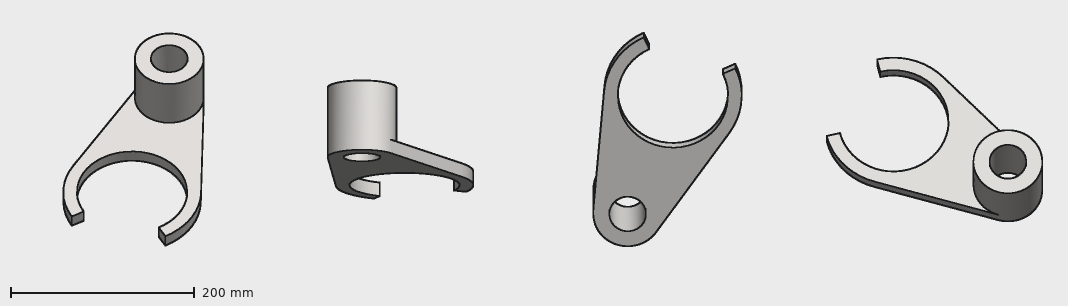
import cadquery as cq
import math

total_length = 236.1
total_height = 77.5
plate_thickness = 15.0
fork_outer_radius = 150.0 / 2
fork_inner_radius = 120.0 / 2
boss_radius = 75.0 / 2
bore_diameter = 40.0
tip_angle = math.radians(45)

tip_drop = fork_outer_radius * math.cos(tip_angle)
boss_y = total_length - boss_radius - tip_drop
tangent_angle = math.asin((fork_outer_radius - boss_radius) / boss_y)


def polar(radius, angle, center_y=0.0):
    """Point at an angle from +X around a centre on the Y axis."""
    return (radius * math.cos(angle), center_y + radius * math.sin(angle))


def mirrored(point):
    """Reflect a point across the Y axis."""
    return (-point[0], point[1])


def fork_plate():
    """Flat plate tapering to the boss, with an open fork at the other end."""
    right_tip = tip_angle - math.pi / 2
    outer_tip = polar(fork_outer_radius, right_tip)
    inner_tip = polar(fork_inner_radius, right_tip)
    outer_middle = polar(fork_outer_radius, (right_tip + tangent_angle) / 2)
    fork_tangent = polar(fork_outer_radius, tangent_angle)
    boss_tangent = polar(boss_radius, tangent_angle, boss_y)
    return (
        cq.Workplane("XY")
        .moveTo(*outer_tip)
        .threePointArc(outer_middle, fork_tangent)
        .lineTo(*boss_tangent)
        .threePointArc((0, boss_y + boss_radius), mirrored(boss_tangent))
        .lineTo(*mirrored(fork_tangent))
        .threePointArc(mirrored(outer_middle), mirrored(outer_tip))
        .lineTo(*mirrored(inner_tip))
        .threePointArc((0, fork_inner_radius), inner_tip)
        .close()
        .extrude(plate_thickness)
    )


def boss_cylinder(radius):
    """Full-height cylinder on the boss axis."""
    return cq.Workplane("XY").center(0, boss_y).circle(radius).extrude(total_height)


boss = boss_cylinder(boss_radius)
bore = boss_cylinder(bore_diameter / 2)
result = fork_plate().union(boss).cut(bore)